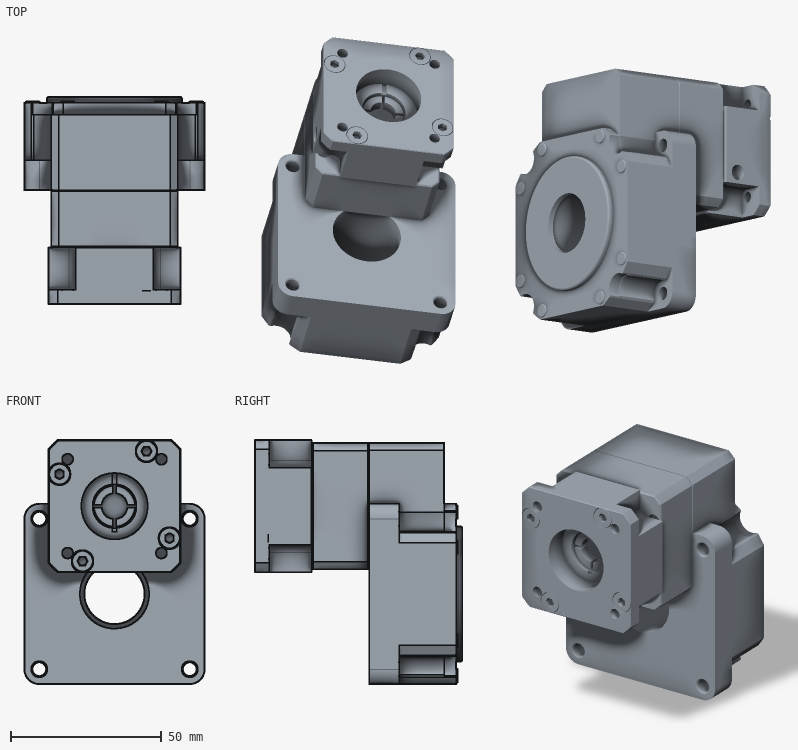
import cadquery as cq
import math

CORNER_SIGNS = [(-1, -1), (-1, 1), (1, -1), (1, 1)]
total_height = 81.2
cutter_overrun = 0.8

platform_side = 60.0
platform_depth = 29.0
flange_thickness = 10.0
flange_corner_radius = 5.0
bolt_offset = 25.0
bolt_hole_diameter = 4.55
bolt_countersink_diameter = 5.35
bolt_countersink_taper = 45
pocket_radius = 4.55
rear_pocket_radius = 4.8
pocket_entry = 20.4
corner_lip = 27.7
lip_bevel = 0.8
corner_slant_start = 17.0
bore_radius = 11.5

table_radius = 22.5
table_back = 31.0
table_rounding = 0.7
table_bore_radius = 10.0

cover_screw_near = 15.6
cover_screw_far = 27.2
cover_screw_radius = 2.3
cover_screw_height = 0.6
cover_screw_chamfer = 0.25

neck_side = 42.1
neck_depth = 25.0
neck_chamfer = 2.5

gear_case_length = 19.0
gear_case_turned_radius = 28.0
gear_case_edge = 0.4
adapter_side = 44.0
adapter_length = 19.0
adapter_turned_radius = 29.0
adapter_edge = 0.25
motor_plate_thickness = 4.8
notch_wall = 12.8
notch_fillet = 2.4
motor_bolt_offset = 15.6
motor_bolt_diameter = 3.65
pilot_radius = 11.05
pilot_depth = 8.0
clamp_screw_hole_radius = 2.6
clamp_screw_hole_y = -24.1
clamp_screw_hole_drop = 9.1
clamp_ring_radius = 16.2

coupling_well_radius = 7.3
coupling_radius = 6.8
coupling_bore_radius = 4.3
coupling_recess = 1.2
coupling_depth = 4.9
coupling_slot_width = 1.05
key_groove_width = 1.55
key_groove_depth = 0.8
key_groove_below = 8.45

screw_along = 10.6
screw_across = 18.3
screw_counterbore_radius = 3.65
screw_head_radius = 3.4
screw_counterbore_depth = 4.5
hex_corner_diameter = 3.4
hex_depth = 2.4
hex_tip_depth = 0.8

case_recess_along = 11.9
case_recess_radius = 2.3
case_recess_depth = 2.4

half_platform = platform_side / 2
axis_height = total_height - half_platform - adapter_side / 2
gear_case_front = -gear_case_length
adapter_front = gear_case_front - adapter_length
motor_plate_back = adapter_front + motor_plate_thickness
pilot_floor = adapter_front + pilot_depth
BOLT_PLACES = [(x * bolt_offset, z * bolt_offset) for x, z in CORNER_SIGNS]
MOTOR_BOLT_PLACES = [(x * motor_bolt_offset, z * motor_bolt_offset) for x, z in CORNER_SIGNS]


def plane_at(y, z=0):
    """Work plane facing +Y, with local x along -X and local y along Z."""
    return cq.Workplane(cq.Plane((0, y, z), (-1, 0, 0), (0, 1, 0)))


def square_bar(side, y_start, y_end, z):
    return plane_at(y_start, z).rect(side, side).extrude(y_end - y_start)


def cylinder(radius, y_start, y_end, x=0, z=0):
    return plane_at(y_start).center(-x, z).circle(radius).extrude(y_end - y_start)


def reducer_cylinder(radius, y_start, y_end):
    return cylinder(radius, y_start, y_end, 0, axis_height)


def around_axis(shape, quarter):
    """Shape turned about the reducer axis by a number of quarter turns."""
    return shape.rotate((0, 0, axis_height), (0, 1, axis_height), 90 * quarter)


def corner_pocket():
    """Corner cut behind the flange: two slanted faces and a scoop around the bolt."""
    beyond = half_platform + cutter_overrun
    scoop_start = corner_lip - lip_bevel
    rim = bolt_offset - math.sqrt(pocket_radius**2 - (scoop_start - bolt_offset) ** 2)
    scoop_middle = bolt_offset - pocket_radius / math.sqrt(2)
    return (
        plane_at(flange_thickness)
        .moveTo(beyond, corner_slant_start)
        .lineTo(half_platform, corner_slant_start)
        .lineTo(corner_lip, pocket_entry)
        .lineTo(scoop_start, rim)
        .threePointArc((scoop_middle, scoop_middle), (rim, scoop_start))
        .lineTo(pocket_entry, corner_lip)
        .lineTo(corner_slant_start, half_platform)
        .lineTo(corner_slant_start, beyond)
        .lineTo(beyond, beyond)
        .close()
        .extrude(platform_depth)
    )


def cover_screws():
    """Eight screw heads standing on the back face, two beside each corner."""
    places = []
    for x_sign, z_sign in CORNER_SIGNS:
        places.append((x_sign * cover_screw_near, z_sign * cover_screw_far))
        places.append((x_sign * cover_screw_far, z_sign * cover_screw_near))
    heads = plane_at(platform_depth).pushPoints(places).circle(cover_screw_radius)
    return heads.extrude(cover_screw_height).faces(">Y").chamfer(cover_screw_chamfer)


def turntable():
    return cylinder(table_radius, platform_depth, table_back).faces(">Y").fillet(table_rounding)


def bolt_pockets():
    """Round wrench room around the flange bolts, cut into the neck as well."""
    pockets = plane_at(flange_thickness).pushPoints(BOLT_PLACES).circle(pocket_radius)
    pockets = pockets.extrude(neck_depth - flange_thickness)
    rear = plane_at(neck_depth).pushPoints(BOLT_PLACES).circle(rear_pocket_radius)
    return pockets.union(rear.extrude(platform_depth - neck_depth))


def bolt_holes():
    sink_radius = bolt_countersink_diameter / 2
    sink_depth = sink_radius - bolt_hole_diameter / 2
    drills = plane_at(0).pushPoints(BOLT_PLACES).circle(bolt_hole_diameter / 2).extrude(flange_thickness)
    sinks = plane_at(0).pushPoints(BOLT_PLACES).circle(sink_radius)
    return drills.union(sinks.extrude(sink_depth, taper=bolt_countersink_taper))


def make_platform():
    body = square_bar(platform_side, 0, platform_depth, 0)
    body = body.edges("|Y").fillet(flange_corner_radius)
    pocket = corner_pocket()
    for quarter in range(4):
        body = body.cut(pocket.rotate((0, 0, 0), (0, 1, 0), 90 * quarter))

    neck = square_bar(neck_side, 0, neck_depth, axis_height)
    neck = neck.edges("|Y and >Z").chamfer(neck_chamfer)
    body = body.union(neck).union(turntable()).union(cover_screws())

    body = body.cut(cylinder(bore_radius, 0, platform_depth))
    body = body.cut(cylinder(table_bore_radius, platform_depth, table_back))

    return body.cut(bolt_pockets()).cut(bolt_holes())


def adapter_notch():
    """Corner notch behind the motor plate, with a filleted inner edge."""
    beyond = adapter_side / 2 + cutter_overrun
    foot = notch_wall + notch_fillet
    arc_middle = foot - notch_fillet / math.sqrt(2)
    return (
        plane_at(motor_plate_back, axis_height)
        .moveTo(beyond, notch_wall)
        .lineTo(foot, notch_wall)
        .threePointArc((arc_middle, arc_middle), (notch_wall, foot))
        .lineTo(notch_wall, beyond)
        .lineTo(beyond, beyond)
        .close()
        .extrude(gear_case_front - motor_plate_back)
    )


def adapter_screw_recess():
    """Gap around one flush screw head, and the hexagon socket in the head."""
    counterbore_end = adapter_front + screw_counterbore_depth
    place = (screw_along, axis_height + screw_across)
    gap = cylinder(screw_counterbore_radius, adapter_front, counterbore_end, *place)
    head = cylinder(screw_head_radius, adapter_front, counterbore_end, *place)
    socket = (
        plane_at(adapter_front, axis_height)
        .center(-screw_along, screw_across)
        .polygon(6, hex_corner_diameter)
        .extrude(hex_depth)
    )
    tip_radius = hex_corner_diameter / 2 * math.cos(math.pi / 6)
    tip_start = cq.Vector(place[0], adapter_front + hex_depth, place[1])
    tip = cq.Solid.makeCone(tip_radius, 0, hex_tip_depth, tip_start, cq.Vector(0, 1, 0))
    return gap.cut(head.cut(socket).cut(cq.Workplane(tip)))


def coupling():
    """Slotted clamping sleeve standing in its well."""
    front = pilot_floor + coupling_recess
    back = pilot_floor + coupling_depth
    length = back - front
    sleeve = plane_at(front, axis_height).circle(coupling_radius).circle(coupling_bore_radius)
    sleeve = sleeve.extrude(length)
    slot = plane_at(front, axis_height).rect(2 * coupling_radius, coupling_slot_width).extrude(length)
    return sleeve.cut(slot).cut(around_axis(slot, 1))


def gear_case():
    """Square case with turned corners and a recess opening into each adapter notch."""
    body = square_bar(neck_side, gear_case_front, 0, axis_height)
    body = body.intersect(reducer_cylinder(gear_case_turned_radius, gear_case_front, 0))
    body = body.faces("<Y or >Y").chamfer(gear_case_edge)
    recess_end = gear_case_front + case_recess_depth
    recess_height = axis_height + screw_across
    recess = cylinder(case_recess_radius, gear_case_front, recess_end, -case_recess_along, recess_height)
    for quarter in range(4):
        body = body.cut(around_axis(recess, quarter))
    return body


def motor_adapter():
    """Motor plate on a body that is notched at all four corners."""
    body = square_bar(adapter_side, adapter_front, gear_case_front, axis_height)
    body = body.intersect(reducer_cylinder(adapter_turned_radius, adapter_front, gear_case_front))
    body = body.faces("<Y or >Y").chamfer(adapter_edge)
    notch = adapter_notch()
    screw_recess = adapter_screw_recess()
    for quarter in range(4):
        body = body.cut(around_axis(notch, quarter))
        body = body.cut(around_axis(screw_recess, quarter))
    bolts = plane_at(adapter_front, axis_height).pushPoints(MOTOR_BOLT_PLACES)
    return body.cut(bolts.circle(motor_bolt_diameter / 2).extrude(motor_plate_thickness))


def pilot_bore():
    """Motor pilot bore with the coupling well and key groove in its floor."""
    bore = reducer_cylinder(pilot_radius, adapter_front, pilot_floor)
    well = reducer_cylinder(coupling_well_radius, pilot_floor, pilot_floor + coupling_depth)
    groove_middle = axis_height + (pilot_radius - key_groove_below) / 2
    groove = (
        plane_at(pilot_floor, groove_middle)
        .rect(key_groove_width, pilot_radius + key_groove_below)
        .extrude(key_groove_depth)
        .intersect(reducer_cylinder(pilot_radius, adapter_front, gear_case_front))
    )
    return bore.union(well).union(groove)


def clamp_screw_hole():
    """Side hole from the -X face in to the round core."""
    return (
        cq.Workplane("YZ", origin=(-adapter_side / 2, 0, 0))
        .center(clamp_screw_hole_y, axis_height - clamp_screw_hole_drop)
        .circle(clamp_screw_hole_radius)
        .extrude(adapter_side / 2)
        .cut(reducer_cylinder(clamp_ring_radius, adapter_front, gear_case_front))
    )


def make_reducer():
    body = gear_case().union(motor_adapter())
    return body.cut(pilot_bore()).cut(clamp_screw_hole()).union(coupling())


platform = make_platform()
reducer = make_reducer()
result = cq.Compound.makeCompound([platform.val(), reducer.val()])